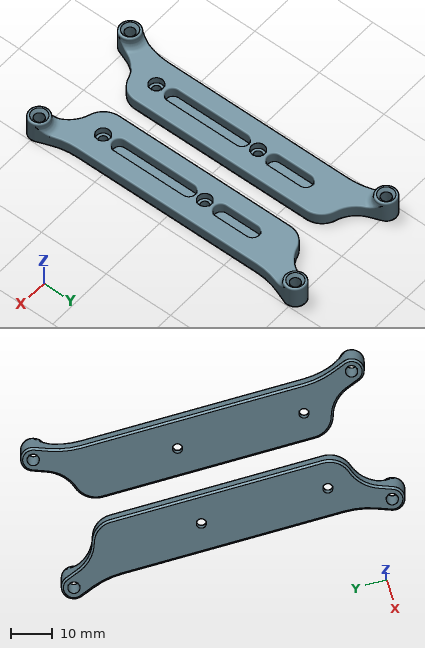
import cadquery as cq
import math


length = 85.4
width = 40.1
height = 7.0

boss_diameter = 6.1
boss_radius = boss_diameter / 2
boss_x = -(width / 2 - boss_radius)
boss_y = length / 2 - boss_radius
boss_hole_diameter = 2.9
boss_sink_diameter = 4.6
boss_sink_angle = 90.0

plate_thickness = 4.0
plate_outer_x = -17.2
plate_inner_x = -3.0

flare_radius = 2.05
flare_top = plate_thickness + flare_radius
flare_reach = boss_radius + flare_radius

arm_lean_degrees = 21.3
arm_lean = math.radians(arm_lean_degrees)
outer_bend_radius = 20.5
shoulder_radius = 6.0
shoulder_start_y = 26.5
neck_radius = 9.0

top_fillet = 0.4
bottom_chamfer = 0.5

feature_line_x = -10.0
slot_width = 4.0
slot_depth = 3.0
slot_spans = [(-22.55, 2.8), (8.9, 22.55)]
screw_hole_diameter = 2.4
screw_head_diameter = 4.0
screw_head_depth = 2.0
screw_hole_ys = [-25.7, 5.8]

pick_margin = 0.01


def polar(center, radius, angle):
    """Point at the given angle on a circle."""
    return (center[0] + radius * math.cos(angle), center[1] + radius * math.sin(angle))


def flip(point):
    """Mirror image of a point across the X axis."""
    return (point[0], -point[1])


def bracket_outline():
    """Outline of the left bracket, symmetric about the X axis, with a round tip on each arm."""
    boss = (boss_x, boss_y)
    tip_inner = polar(boss, boss_radius, arm_lean)
    tip_middle = polar(boss, boss_radius, math.pi / 2 + arm_lean)
    tip_outer = polar(boss, boss_radius, math.pi + arm_lean)

    bend_x = plate_outer_x - outer_bend_radius
    bend_distance = boss_radius + outer_bend_radius
    bend_y = boss_y + ((boss_x - bend_x) * math.cos(arm_lean) - bend_distance) / math.sin(arm_lean)
    bend_center = (bend_x, bend_y)
    bend_side_end = polar(bend_center, outer_bend_radius, 0)
    bend_middle = polar(bend_center, outer_bend_radius, arm_lean / 2)
    bend_arm_end = polar(bend_center, outer_bend_radius, arm_lean)

    shoulder_center = (plate_inner_x - shoulder_radius, shoulder_start_y)
    neck_distance = boss_radius + neck_radius
    dx = shoulder_center[0] - boss_x
    dy = shoulder_center[1] - boss_y
    across = dx * math.cos(arm_lean) + dy * math.sin(arm_lean) - neck_distance
    along = dx * math.sin(arm_lean) - dy * math.cos(arm_lean)
    neck_along = along - math.sqrt((shoulder_radius + neck_radius) ** 2 - across**2)
    neck_start = polar(boss, neck_distance, arm_lean)
    neck_center = polar(neck_start, neck_along, arm_lean - math.pi / 2)
    joint_angle = math.atan2(neck_center[1] - shoulder_center[1], neck_center[0] - shoulder_center[0])
    neck_arm_end = polar(neck_center, neck_radius, math.pi + arm_lean)
    neck_middle = polar(neck_center, neck_radius, math.pi + (arm_lean + joint_angle) / 2)
    joint = polar(shoulder_center, shoulder_radius, joint_angle)
    shoulder_middle = polar(shoulder_center, shoulder_radius, joint_angle / 2)
    shoulder_end = polar(shoulder_center, shoulder_radius, 0)

    return (
        cq.Workplane("XY")
        .moveTo(*flip(bend_side_end))
        .lineTo(*bend_side_end)
        .threePointArc(bend_middle, bend_arm_end)
        .lineTo(*tip_outer)
        .threePointArc(tip_middle, tip_inner)
        .lineTo(*neck_arm_end)
        .threePointArc(neck_middle, joint)
        .threePointArc(shoulder_middle, shoulder_end)
        .lineTo(*flip(shoulder_end))
        .threePointArc(flip(shoulder_middle), flip(joint))
        .threePointArc(flip(neck_middle), flip(neck_arm_end))
        .lineTo(*flip(tip_inner))
        .threePointArc(flip(tip_middle), flip(tip_outer))
        .lineTo(*flip(bend_arm_end))
        .threePointArc(flip(bend_middle), flip(bend_side_end))
        .close()
    )


def space_above_plate():
    """Space over the plate beside the +Y boss: half a turn about the boss, on the plate's side."""
    flare_dip = flare_radius * math.sqrt(0.5)
    outer_radius = length / 2 + boss_radius
    return (
        cq.Workplane("XZ")
        .moveTo(boss_radius, flare_top)
        .threePointArc((flare_reach - flare_dip, flare_top - flare_dip), (flare_reach, plate_thickness))
        .lineTo(outer_radius, plate_thickness)
        .lineTo(outer_radius, height)
        .lineTo(boss_radius, height)
        .close()
        .revolve(180, (0, 0, 0), (0, -1, 0))
        .rotate((0, 0, 0), (0, 0, 1), arm_lean_degrees)
        .translate((boss_x, boss_y, 0))
    )


def plate_rim_edges(blank):
    """Upper outer edges of the plate, and the curved edges that climb along the flares."""
    rim = []
    for edge in blank.edges().vals():
        box = edge.BoundingBox()
        above_sides = box.zmin > plate_thickness - pick_margin
        below_boss_wall = box.zmax < flare_top + pick_margin
        at_plate_top = box.zmax < plate_thickness + pick_margin
        climbs = box.zlen > pick_margin
        is_flare_foot = edge.geomType() == "CIRCLE" and abs(edge.radius() - flare_reach) < pick_margin
        if above_sides and below_boss_wall and (at_plate_top or climbs) and not is_flare_foot:
            rim.append(edge)
    return rim


def bracket_blank():
    """Plate with its two flared bosses and broken edges, before any holes."""
    space = space_above_plate()
    blank = bracket_outline().extrude(height).cut(space).cut(space.mirror("XZ"))
    blank = blank.faces("<Z").edges().chamfer(bottom_chamfer)
    blank = blank.faces(">Z").edges().fillet(top_fillet)
    return blank.newObject(plate_rim_edges(blank)).fillet(top_fillet)


def cut_slots(body):
    """Blind round-ended slots with rounded rims."""
    for low, high in slot_spans:
        slot = (
            cq.Workplane("XY", origin=(feature_line_x, (low + high) / 2, plate_thickness))
            .slot2D(high - low, slot_width, 90)
            .extrude(-slot_depth)
        )
        rim = cq.selectors.BoxSelector(
            (feature_line_x - slot_width, low - pick_margin, plate_thickness - pick_margin),
            (feature_line_x + slot_width, high + pick_margin, plate_thickness + pick_margin),
        )
        body = body.cut(slot).edges(rim).fillet(top_fillet)
    return body


def cut_screw_holes(body):
    """Through holes in the plate, with round recesses for the screw heads."""
    return (
        body.copyWorkplane(cq.Workplane("XY", origin=(0, 0, plate_thickness)))
        .pushPoints([(feature_line_x, y) for y in screw_hole_ys])
        .cboreHole(screw_hole_diameter, screw_head_diameter, screw_head_depth)
    )


def cut_boss_holes(body):
    """Countersunk through holes in the bosses."""
    return (
        body.copyWorkplane(cq.Workplane("XY", origin=(0, 0, height)))
        .pushPoints([(boss_x, boss_y), (boss_x, -boss_y)])
        .cskHole(boss_hole_diameter, boss_sink_diameter, boss_sink_angle)
    )


def make_bracket():
    """Complete left bracket."""
    body = bracket_blank()
    body = cut_slots(body)
    body = cut_screw_holes(body)
    return cut_boss_holes(body)


left_bracket = make_bracket().solids().val()
right_bracket = left_bracket.mirror("YZ")

result = cq.Compound.makeCompound([left_bracket, right_bracket])